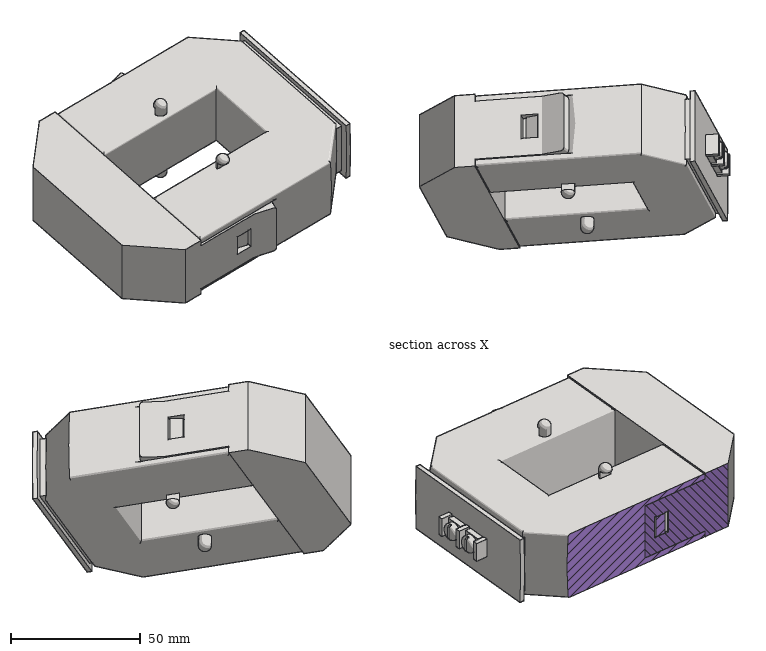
import cadquery as cq
import math


height = 29.7
side_x = 43.8
back_y = 80.1
back_chamfer = 14.7
draft_angle = 1.6
parting_band = 0.2
edge_radius = 1.1
window_half_width = 14.8
window_length = 56.0

neck_width = 59.0
neck_height = 24.8
neck_root = 0.6
plate_back_y = 84.1
plate_thickness = 2.0
plate_half_width = 32.6
plate_half_height = 14.6
plate_draft = 0.3
plate_front_y = plate_back_y - plate_thickness

fin_pitch = 10.8
fin_width = 2.0
fin_height = 8.3
fin_back_y = 89.2

yoke_half_width = 44.4
yoke_depth = 25.2
yoke_chamfer = 17.3
arm_thickness = 4.0
arm_height = 24.0
arm_bend_y = 26.5
flare_angle = math.radians(15.5)
flare_length = 9.4
arm_tip_radius = 1.6

latch_height = 9.6
latch_start_y = 18.1
latch_end_y = 24.8
tooth_foot_y = 19.6
tooth_crest_y = 24.4
tooth_height = 2.6
tooth_foot_height = 1.3

pin_x = 18.9
pin_y = 31.5
pin_radius = 2.6
stem_length = 3.3

clamp_size = 7.6
clamp_thickness = 2.4
head_diameter = 7.1
head_height = 3.0
head_radius = 1.4
slot_width = 0.8
slot_depth = 1.3


def box(x_range, y_range, z_size):
    """Box over the given X and Y ranges, centred on Z = 0."""
    x_size = x_range[1] - x_range[0]
    y_size = y_range[1] - y_range[0]
    solid = cq.Workplane("XY").box(x_size, y_size, z_size)
    return solid.translate((sum(x_range) / 2, sum(y_range) / 2, 0))


def prism(points, z_size):
    """Outline in X and Y, extruded equally to both sides of Z = 0."""
    return cq.Workplane("XY").polyline(points).close().extrude(z_size / 2, both=True)


def add_on_both_sides(body, feature):
    return body.union(feature).union(feature.mirror("YZ"))


def cut_on_both_sides(body, feature):
    return body.cut(feature).cut(feature.mirror("YZ"))


arm_inner_x = yoke_half_width - arm_thickness
arm_inner_bend_y = arm_bend_y + arm_thickness * math.tan(flare_angle / 2)


def along_flare(start, distance):
    return (
        start[0] + distance * math.sin(flare_angle),
        start[1] + distance * math.cos(flare_angle),
    )


def housing_core():
    """Chamfered block with drafted walls, the window and rounded rims."""
    overrun = 11.5
    back_half_width = side_x - back_chamfer
    outline = [
        (-side_x, -overrun),
        (side_x, -overrun),
        (side_x, back_y - back_chamfer),
        (back_half_width - overrun, back_y + overrun),
        (overrun - back_half_width, back_y + overrun),
        (-side_x, back_y - back_chamfer),
    ]
    drafted_height = (height - parting_band) / 2
    upper = cq.Workplane("XY").workplane(offset=parting_band / 2).polyline(outline).close()
    upper = upper.extrude(drafted_height, taper=draft_angle)
    core = prism(outline, parting_band).union(upper).union(upper.mirror("XY"))
    core = core.intersect(box((-side_x, side_x), (0, back_y), height))
    core = core.cut(box((-window_half_width, window_half_width), (0, window_length), height))
    return core.faces("<Z or >Z").edges().fillet(edge_radius)


def arm_pocket():
    """Recess that holds a spring arm and runs out along a ramp parallel to its flare."""
    ramp_start = (arm_inner_x, arm_inner_bend_y)
    ramp_end = along_flare(ramp_start, arm_inner_bend_y)
    outline = [(arm_inner_x, 0), ramp_start, ramp_end, (ramp_end[0], 0)]
    return prism(outline, arm_height)


def latch_tooth():
    """Tooth that slopes up toward the arm tip and ends in a square catch."""
    outline = [
        (arm_inner_x, tooth_foot_y),
        (arm_inner_x + tooth_foot_height, tooth_foot_y),
        (arm_inner_x + tooth_height, tooth_crest_y),
        (arm_inner_x, tooth_crest_y),
    ]
    return prism(outline, latch_height)


def terminal_plate():
    """Plate with slightly pointed ends, on a neck and carrying the fins."""
    end_x = plate_half_width - plate_draft
    outline = [
        (end_x, plate_half_height),
        (plate_half_width, 0),
        (end_x, -plate_half_height),
        (-end_x, -plate_half_height),
        (-plate_half_width, 0),
        (-end_x, plate_half_height),
    ]
    plate = cq.Workplane("XZ", origin=(0, plate_back_y, 0)).polyline(outline).close()
    plate = plate.extrude(plate_thickness)
    neck = box((-neck_width / 2, neck_width / 2), (back_y - neck_root, plate_front_y), neck_height)
    plate = plate.union(neck)
    for fin_x in (-fin_pitch, 0, fin_pitch):
        fin_sides = (fin_x - fin_width / 2, fin_x + fin_width / 2)
        plate = plate.union(box(fin_sides, (plate_back_y, fin_back_y), fin_height))
    return plate


def make_housing():
    """Core with arm pockets and latch teeth on both sides and the terminal plate at the back."""
    housing = cut_on_both_sides(housing_core(), arm_pocket())
    housing = add_on_both_sides(housing, latch_tooth())
    return housing.union(terminal_plate())


def spring_arm():
    """Arm on the +X side with a flared, round-cornered tip and the latch opening."""
    outer_bend = (yoke_half_width, arm_bend_y)
    outer_tip = along_flare(outer_bend, flare_length)
    inner_tip = (
        outer_tip[0] - arm_thickness * math.cos(flare_angle),
        outer_tip[1] + arm_thickness * math.sin(flare_angle),
    )
    outline = [
        (arm_inner_x, 0),
        (yoke_half_width, 0),
        outer_bend,
        outer_tip,
        inner_tip,
        (arm_inner_x, arm_inner_bend_y),
    ]
    arm = prism(outline, arm_height)
    arm = arm.faces(">Y").edges("<Z or >Z").fillet(arm_tip_radius)
    opening = box((arm_inner_x, yoke_half_width), (latch_start_y, latch_end_y), latch_height)
    return arm.cut(opening)


def make_yoke():
    """Chamfered bar that closes the window, with a spring arm on each side."""
    outline = [
        (-yoke_half_width, 0),
        (yoke_half_width, 0),
        (yoke_half_width, yoke_chamfer - yoke_depth),
        (yoke_half_width - yoke_chamfer, -yoke_depth),
        (yoke_chamfer - yoke_half_width, -yoke_depth),
        (-yoke_half_width, yoke_chamfer - yoke_depth),
    ]
    return add_on_both_sides(prism(outline, height), spring_arm())


def make_pin(x_side, z_side):
    """Half-round stem, on the window side of the pin axis, under a hemispherical head."""
    head_z = height / 2 + stem_length
    stem = cq.Workplane("XY").circle(pin_radius).extrude(stem_length)
    stem = stem.cut(box((0, pin_radius), (-pin_radius, pin_radius), 2 * stem_length))
    stem = stem.translate((pin_x, pin_y, height / 2))
    head = cq.Workplane("XY").sphere(pin_radius, angle1=0, angle2=90)
    pin = stem.union(head.translate((pin_x, pin_y, head_z)))
    if x_side < 0:
        pin = pin.mirror("YZ")
    if z_side < 0:
        pin = pin.mirror("XY")
    return pin


def make_terminal_screw(x):
    """Square clamp on the plate and a slotted round head on top of it."""
    clamp_back_y = plate_back_y + clamp_thickness
    head_back_y = clamp_back_y + head_height
    clamp = box((x - clamp_size / 2, x + clamp_size / 2), (plate_back_y, clamp_back_y), clamp_size)
    head = cq.Workplane("XZ", origin=(x, head_back_y, 0)).circle(head_diameter / 2).extrude(head_height)
    head = head.faces(">Y").edges().fillet(head_radius)
    slot_sides = (x - slot_width / 2, x + slot_width / 2)
    head = head.cut(box(slot_sides, (head_back_y - slot_depth, head_back_y), head_diameter))
    return clamp.union(head)


housing = make_housing()
yoke = make_yoke()
pins = [make_pin(x_side, z_side) for x_side in (-1, 1) for z_side in (-1, 1)]
terminal_screws = [make_terminal_screw(side * fin_pitch / 2) for side in (-1, 1)]

bodies = [housing, yoke, *pins, *terminal_screws]
result = cq.Compound.makeCompound([body.solids().val() for body in bodies])